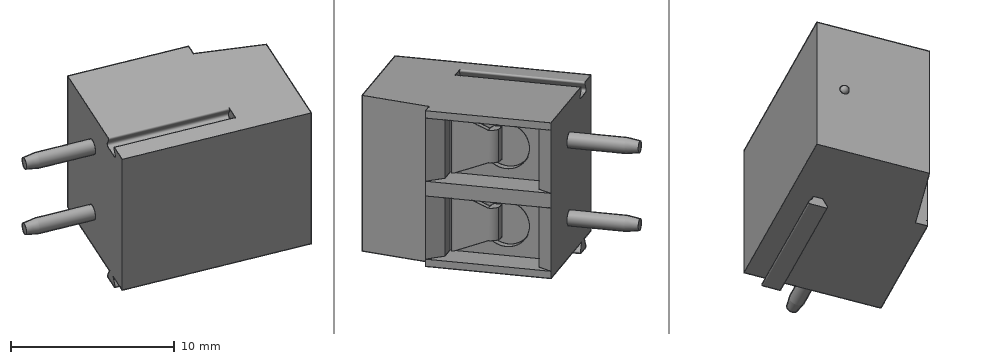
import cadquery as cq
import math


pole_count = 2
pole_pitch = 5.08
housing_width = 9.0
housing_depth = 12.5
housing_height = pole_count * pole_pitch
entry_depth = 8.0
shoulder_step = 0.8
rear_setback = 1.6

pocket_height = 4.12
pocket_floor = 2.0
front_bevel_inset = 0.9
front_bevel_depth = 0.52
rear_bevel_inset = 1.0
rear_bevel_depth = 0.85

hole_radius = 1.48
hole_center_y = 3.42
hole_bottom = 2.5

leaf_top = 1.6
leaf_rear_y = 6.9
leaf_rear_radius = pocket_floor - leaf_top
leaf_nose_half_width = 1.06
nose_start_y = hole_center_y + math.sqrt(hole_radius**2 - leaf_nose_half_width**2)
nose_tip_y = 3.88
nose_foot_y = 3.82
nose_drop = 0.33

dovetail_x = 7.2
dovetail_angle = 30.0
tongue_height = 0.69
tongue_round = 0.1
tongue_root_half_width = 0.3
groove_depth = 0.72
groove_floor_round = 0.15
groove_lip_round = 0.1
groove_mouth_half_width = 0.36

pin_x = 4.1
pin_radius = 0.5
pin_tip_radius = 0.37
pin_length = 4.5
pin_tip_length = 0.83

bump_radius = 0.3
bump_x = dovetail_x

pole_heights = [(i + 0.5) * pole_pitch for i in range(pole_count)]


def make_housing():
    outline = [
        (0, 0),
        (housing_width, 0),
        (housing_width, housing_depth),
        (rear_setback, housing_depth),
        (shoulder_step, entry_depth),
        (0, entry_depth),
    ]
    return cq.Workplane("XY").polyline(outline).close().extrude(housing_height)


def make_pocket(pole_z):
    """Pocket with bevelled mouth, plus the round hole in its floor."""
    front_y = front_bevel_inset
    rear_y = entry_depth - rear_bevel_inset
    outline = [
        (0, 0),
        (front_bevel_depth, front_y),
        (pocket_floor, front_y),
        (pocket_floor, rear_y),
        (rear_bevel_depth, rear_y),
        (0, entry_depth),
    ]
    bottom_z = pole_z - pocket_height / 2
    pocket = cq.Workplane("XY", origin=(0, 0, bottom_z)).polyline(outline).close().extrude(pocket_height)
    hole = (
        cq.Workplane("YZ", origin=(pocket_floor, hole_center_y, pole_z))
        .circle(hole_radius)
        .extrude(hole_bottom - pocket_floor)
    )
    return pocket.union(hole)


def make_leaf(pole_z):
    """Leaf side profile, trimmed to its tapered outline."""
    chord_angle = math.atan2(nose_drop, nose_start_y - nose_tip_y)
    nose_radius = nose_drop / (1 - math.cos(2 * chord_angle))
    nose_middle = (
        leaf_top + nose_radius * (1 - math.cos(chord_angle)),
        nose_start_y - nose_radius * math.sin(chord_angle),
    )
    rear_middle = (
        leaf_top + leaf_rear_radius * (1 - math.sqrt(0.5)),
        leaf_rear_y - leaf_rear_radius * (1 - math.sqrt(0.5)),
    )
    profile = (
        cq.Workplane("XY", origin=(0, 0, pole_z))
        .moveTo(hole_bottom, nose_foot_y)
        .lineTo(leaf_top + nose_drop, nose_tip_y)
        .threePointArc(nose_middle, (leaf_top, nose_start_y))
        .lineTo(leaf_top, leaf_rear_y - leaf_rear_radius)
        .threePointArc(rear_middle, (pocket_floor, leaf_rear_y))
        .lineTo(hole_bottom, leaf_rear_y)
        .close()
        .extrude(pocket_height / 2, both=True)
    )
    outline = [
        (nose_foot_y, -leaf_nose_half_width),
        (nose_start_y, -leaf_nose_half_width),
        (leaf_rear_y, -pocket_height / 2),
        (leaf_rear_y, pocket_height / 2),
        (nose_start_y, leaf_nose_half_width),
        (nose_foot_y, leaf_nose_half_width),
    ]
    envelope = cq.Workplane("YZ", origin=(0, 0, pole_z)).polyline(outline).close().extrude(hole_bottom)
    return profile.intersect(envelope)


def make_dovetail(top_z, height, narrow_half_width, wide_edge_round):
    """Dovetail bar along Y, hanging down from top_z and widening downwards."""
    wide_half_width = narrow_half_width + height * math.tan(math.radians(dovetail_angle))
    outline = [
        (-narrow_half_width, 0),
        (-wide_half_width, -height),
        (wide_half_width, -height),
        (narrow_half_width, 0),
    ]
    bar = (
        cq.Workplane("XZ", origin=(dovetail_x, 0, top_z))
        .polyline(outline)
        .close()
        .extrude(-entry_depth)
    )
    return bar.faces("<Z").edges("|Y").fillet(wide_edge_round)


def cut_groove(body):
    """Cut the dovetail groove in the top face and round its two lips."""
    groove = make_dovetail(housing_height, groove_depth, groove_mouth_half_width, groove_floor_round)
    body = body.cut(groove)
    for side in (-1, 1):
        lip = (dovetail_x + side * groove_mouth_half_width, entry_depth / 2, housing_height)
        body = body.edges(cq.selectors.NearestToPointSelector(lip)).fillet(groove_lip_round)
    return body


def make_pin(pole_z):
    """Round pin with a tapered tip, starting on the front face and pointing along -Y."""
    profile = [
        (0, 0),
        (pin_radius, 0),
        (pin_radius, pin_tip_length - pin_length),
        (pin_tip_radius, -pin_length),
        (0, -pin_length),
    ]
    return (
        cq.Workplane("XY", origin=(pin_x, 0, pole_z))
        .polyline(profile)
        .close()
        .revolve(360, (0, 0, 0), (0, 1, 0))
    )


def make_bump():
    """Ball centred on the rear face, so half of it stands proud."""
    center = (bump_x, housing_depth, housing_height / 2)
    return cq.Workplane("XY", origin=center).sphere(bump_radius)


result = cut_groove(make_housing())
for pole_z in pole_heights:
    result = result.cut(make_pocket(pole_z))
    result = result.union(make_leaf(pole_z))
    result = result.union(make_pin(pole_z))
result = result.union(make_dovetail(0, tongue_height, tongue_root_half_width, tongue_round))
result = result.union(make_bump())